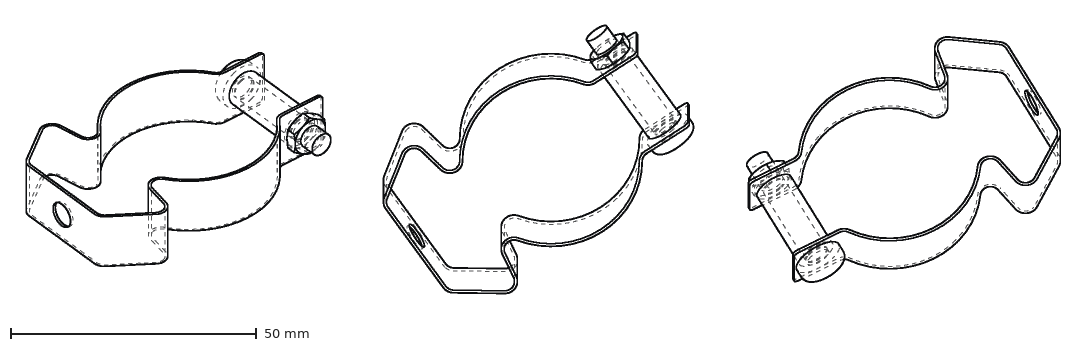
import cadquery as cq
import math


strap_width = 12.7
strap_thickness = 0.6
grip_radius = 18.6
bend_inner_radius = 2.0
tab_half_gap = 9.0
tab_end_y = 27.55
tab_corner_radius = 1.0
base_y = -33.65
base_half_length = 10.4
knee_half_width = 18.95
neck_leg_angle = 10.0
base_hole_diameter = 5.5

bolt_axis_y = 22.0
shank_diameter = 5.0
shank_end_x = 15.8
head_diameter = 10.05
head_height = 3.3
head_edge_radius = 1.45
sleeve_diameter = 8.0
sleeve_end_clearance = 0.25
nut_across_flats = 8.0
nut_height = 2.65
nut_chamfer_depth = 0.3

bend_outer_radius = bend_inner_radius + strap_thickness
tab_outer_x = tab_half_gap + strap_thickness
grip_mid_radius = grip_radius - strap_thickness / 2
bend_mid_radius = bend_inner_radius + strap_thickness / 2


def polar(center, radius, degrees):
    """Point on a circle at the given angle from +X."""
    angle = math.radians(degrees)
    return (center[0] + radius * math.cos(angle), center[1] + radius * math.sin(angle))


neck_x = tab_outer_x + bend_inner_radius
neck_y = math.sqrt((grip_radius + bend_inner_radius) ** 2 - neck_x**2)
tab_bend = (neck_x, neck_y)
neck_bend = (neck_x, -neck_y)
grip_angle = math.degrees(math.atan2(neck_y, neck_x))

knee_x = knee_half_width - bend_outer_radius
leg_slope = math.radians(neck_leg_angle)
knee_drop = (2 * bend_mid_radius + (knee_x - neck_x) * math.sin(leg_slope)) / math.cos(leg_slope)
knee_bend = (knee_x, -neck_y - knee_drop)

base_bend = (base_half_length, base_y + bend_outer_radius)
slant_angle = math.degrees(math.atan2(knee_bend[1] - base_bend[1], knee_bend[0] - base_bend[0]))
slant_normal = slant_angle - 90
leg_normal = 90 - neck_leg_angle


def strap_outline(offset):
    """Points of the +X half, from tab end to base, as (arc midpoint or None, end point).

    The offset moves the line outward, away from the inside of the strap.
    """
    tab_x = tab_half_gap + strap_thickness / 2 + offset
    grip = grip_mid_radius + offset
    reverse = bend_mid_radius - offset
    forward = bend_mid_radius + offset
    grip_start = 180 + grip_angle
    neck_start = 180 - grip_angle
    neck_end = 180 + leg_normal
    return [
        (None, (tab_x, tab_end_y)),
        (None, (tab_x, tab_bend[1])),
        (polar(tab_bend, reverse, (180 + grip_start) / 2), polar((0, 0), grip, grip_angle)),
        ((grip, 0), polar((0, 0), grip, -grip_angle)),
        (polar(neck_bend, reverse, (neck_start + neck_end) / 2), polar(neck_bend, reverse, neck_end)),
        (None, polar(knee_bend, forward, leg_normal)),
        (
            polar(knee_bend, forward, (leg_normal + slant_normal) / 2),
            polar(knee_bend, forward, slant_normal),
        ),
        (None, polar(base_bend, forward, slant_normal)),
        (polar(base_bend, forward, (slant_normal - 90) / 2), polar(base_bend, forward, -90)),
    ]


def trace(sketch, steps):
    """Draw lines and arcs through the given steps."""
    for mid, end in steps:
        sketch = sketch.lineTo(*end) if mid is None else sketch.threePointArc(mid, end)
    return sketch


def reversed_steps(steps):
    """The same path walked backwards, without its starting point."""
    return [(steps[i][0], steps[i - 1][1]) for i in range(len(steps) - 1, 0, -1)]


def along_bolt(start_x):
    """Sketch plane facing +X on the bolt axis; its local axes are Y and Z."""
    return cq.Workplane("YZ", origin=(start_x, bolt_axis_y, 0))


def make_strap():
    outer = strap_outline(strap_thickness / 2)
    inner = strap_outline(-strap_thickness / 2)

    sketch = cq.Workplane("XY", origin=(0, 0, -strap_width / 2)).moveTo(*outer[0][1])
    sketch = trace(sketch, outer[1:])
    sketch = sketch.lineTo(0, base_y).lineTo(0, base_y + strap_thickness).lineTo(*inner[-1][1])
    half = trace(sketch, reversed_steps(inner)).close().extrude(strap_width)
    strap = half.union(half.mirror("YZ")).clean()

    strap = strap.faces(">Y").edges("|X").fillet(tab_corner_radius)

    bolt_hole = along_bolt(-tab_outer_x).circle(shank_diameter / 2).extrude(2 * tab_outer_x)

    base_hole = (
        cq.Workplane("XZ", origin=(0, base_y + strap_thickness, 0))
        .circle(base_hole_diameter / 2)
        .extrude(strap_thickness)
    )
    return strap.cut(bolt_hole).cut(base_hole)


def make_bolt():
    head = along_bolt(-tab_outer_x - head_height).circle(head_diameter / 2).extrude(head_height)
    head = head.faces("<X").edges().fillet(head_edge_radius)
    shank = along_bolt(-tab_outer_x).circle(shank_diameter / 2).extrude(tab_outer_x + shank_end_x)
    return head.union(shank)


def make_sleeve():
    half_length = tab_half_gap - sleeve_end_clearance
    return (
        along_bolt(-half_length)
        .circle(sleeve_diameter / 2)
        .circle(shank_diameter / 2)
        .extrude(2 * half_length)
    )


def make_nut():
    flat_radius = nut_across_flats / 2
    corner_radius = flat_radius / math.cos(math.pi / 6)
    hexagon = (
        along_bolt(tab_outer_x)
        .transformed(rotate=(0, 0, 90))
        .polygon(6, 2 * corner_radius)
        .extrude(nut_height)
    )
    corner_trim = (
        along_bolt(tab_outer_x)
        .circle(corner_radius)
        .extrude(nut_height)
        .faces("<X or >X")
        .chamfer(nut_chamfer_depth, corner_radius - flat_radius)
    )
    bore = along_bolt(tab_outer_x).circle(shank_diameter / 2).extrude(nut_height)
    return hexagon.intersect(corner_trim).cut(bore)


strap = make_strap()
bolt = make_bolt()
sleeve = make_sleeve()
nut = make_nut()

result = cq.Compound.makeCompound([body.solids().val() for body in (strap, bolt, sleeve, nut)])